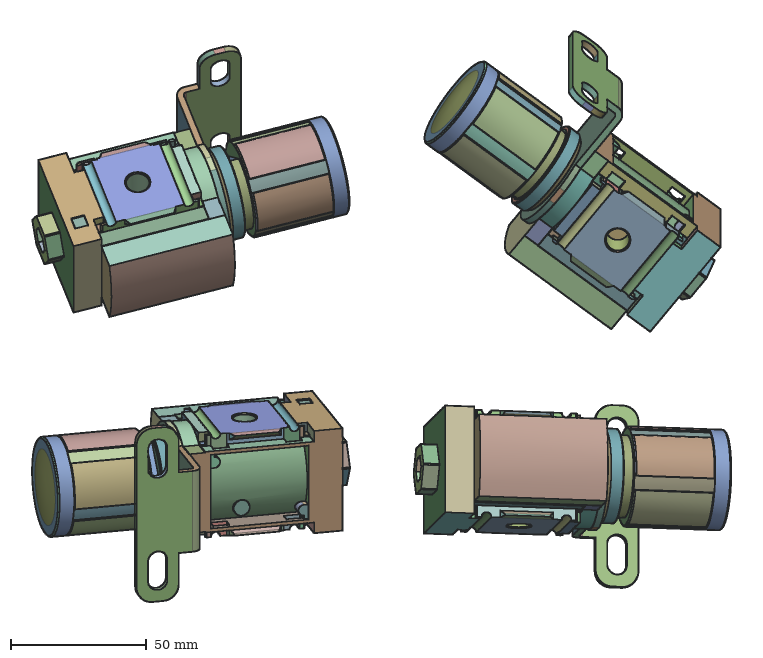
import cadquery as cq
import math


body_width = 42.2
body_height = 40.1
front_block_end = 10.9
port_block_end = 52.4
body_end = 58.7
body_mid = (front_block_end + port_block_end) / 2
core_height = 31.6
rear_height = 31.0
collar_diameter = 39.7

port_block_width = 30.3
port_diameter = 8.5
port_depth = 11.5
port_chamfer = 0.5
groove_diameter = 3.6
groove_offset = 15.0
slot_outer_x = 18.6
slot_inner_x = 14.8
slot_width = 6.1
slot_offset = 14.0
corner_length = 3.6
corner_width = 3.8
corner_floor = 16.4
tab_length = 1.0
tab_width = 2.1
tab_chamfer = 0.6

rib_reach = 2.2
rib_base_width = 19.9
rib_tip_width = 16.9
rib_underside = 17.4
rib_knee = 18.7
rib_tip_top = 19.5
rib_undercut = 0.6

pocket_front = 12.8
pocket_end = 50.2
pocket_height = 28.9
barrel_diameter = 37.4
pin_diameter = 6.1
pin_y = 37.7
pin_z = -8.5
pin_recess = 3.0
boss_recess = 0.9
boss_diameter = 4.3
boss_inset = 1.6
boss_z = 11.0

cover_height = 30.7
cover_side_x = 30.5
cover_crown_x = 33.0

mark_size = 5.0
mark_x = 11.0
mark_y = 5.7
mark_depth = 0.6

plug_length = 6.0
plug_flats = 17.1
plug_diameter = 19.4
socket_flats = 8.8
socket_depth = 9.2

thread_diameter = 31.6
neck_diameter = 30.4
neck_flat_distance = 12.0
neck_flat_angle = 138
knob_diameter = 37.2
knob_start = 71.6
knob_seam = 101.8
knob_end = 107.9
knob_crown = 109.5
dome_diameter = 28.4
knob_chamfer = 0.6
seam_width = 0.3
seam_depth = 0.2
flute_count = 5
flute_floor_width = 5.1
flute_mouth_width = 5.8
flute_depth = 0.6
flute_first_angle = 54

sheet = 2.5
bracket_left_x = -40.0
bracket_height = 68.0
strip_width = 16.0
strip_end = 83.7
strip_corner_radius = 6.0
bend_radius = 3.9
arm_height = 31.6
eye_diameter = 40.4
eye_height = 40.0
bracket_hole = 32.0
bracket_slot_width = 7.4
bracket_slot_length = 15.0
bracket_slot_z = 22.0

nut_diameter = 35.0
nut_end = 67.8
nut_chamfer_length = 1.7
nut_chamfer_depth = 1.5
nut_edge_chamfer = 0.3


def block(x0, x1, y0, y1, z0, z1):
    """Box given by its limits."""
    size = (x1 - x0, y1 - y0, z1 - z0)
    return cq.Workplane("XY").box(*size, centered=False).translate((x0, y0, z0))


def centred_block(width, y0, y1, height):
    """Box centred on the axis in X and Z."""
    return block(-width / 2, width / 2, y0, y1, -height / 2, height / 2)


def plane_y(y):
    """Work plane across the axis, extruding towards +Y."""
    return cq.Workplane(cq.Plane((0, y, 0), (1, 0, 0), (0, 1, 0)))


def rod(diameter, y0, y1):
    """Cylinder on the axis."""
    return plane_y(y0).circle(diameter / 2).extrude(y1 - y0)


def hexagon(flats, y0, y1):
    """Hexagonal bar on the axis with corners at +X and -X."""
    corners = flats / math.cos(math.pi / 6)
    return plane_y(y0).polygon(6, corners).extrude(y1 - y0)


def ring_profile(points):
    """Revolve an (r, y) outline around the axis."""
    return cq.Workplane("XY").polyline(points).close().revolve(360, (0, 0), (0, 1))


def mirrored_copies(solid, about_y):
    """The solid and its mirror images in X, Z and the plane y = about_y."""
    copies = [solid]
    for plane, base in (("YZ", (0, 0, 0)), ("XY", (0, 0, 0)), ("XZ", (0, about_y, 0))):
        copies += [copy.mirror(plane, base) for copy in copies]
    return copies


def make_rib():
    """Dovetail rib on the -X side of the upper port block."""
    root_x = -port_block_width / 2
    tip_x = root_x - rib_reach
    section = (
        cq.Workplane("XZ", origin=(0, body_mid + rib_base_width / 2, 0))
        .moveTo(root_x, body_height / 2)
        .lineTo(tip_x, rib_tip_top)
        .lineTo(tip_x + rib_undercut, rib_knee)
        .lineTo(root_x, rib_underside)
        .close()
        .extrude(rib_base_width)
    )
    plan = (
        cq.Workplane("XY")
        .moveTo(root_x, body_mid - rib_base_width / 2)
        .lineTo(tip_x, body_mid - rib_tip_width / 2)
        .lineTo(tip_x, body_mid + rib_tip_width / 2)
        .lineTo(root_x, body_mid + rib_base_width / 2)
        .close()
        .extrude(body_height)
    )
    return section.intersect(plan)


def cut_port_blocks(body):
    """Shape the port blocks: corner recesses, ribs, grooves and ports."""
    side_x = -port_block_width / 2
    top_z = body_height / 2
    recess = block(side_x, side_x + corner_length, port_block_end - corner_width, port_block_end,
                   corner_floor, top_z)
    tab_y = port_block_end - corner_width
    tab = block(side_x, side_x + tab_length, tab_y, tab_y + tab_width, corner_floor, top_z)
    tab = tab.edges("|Z and <X and >Y").chamfer(tab_chamfer)
    for corner in mirrored_copies(recess.cut(tab), body_mid):
        body = body.cut(corner)
    rib = make_rib()
    for upper in (rib, rib.mirror("XY")):
        body = body.union(upper).union(upper.mirror("YZ"))

    for end in (-1, 1):
        for side in (-1, 1):
            groove = (
                cq.Workplane("YZ", origin=(side_x, body_mid + end * groove_offset, side * top_z))
                .circle(groove_diameter / 2)
                .extrude(port_block_width)
            )
            body = body.cut(groove)

    for side in (-1, 1):
        port = (
            cq.Workplane("XY", origin=(0, body_mid, top_z - port_depth))
            .circle(port_diameter / 2)
            .extrude(port_depth)
            .faces(">Z")
            .workplane()
            .circle(port_diameter / 2 + port_chamfer)
            .workplane(offset=-port_chamfer)
            .circle(port_diameter / 2)
            .loft(combine=True)
        )
        body = body.cut(port if side > 0 else port.mirror("XY"))
    return body


def make_side_pocket():
    """Volume cut from the -X side, leaving the barrel, its pin and two bosses."""
    outer_x = -body_width / 2
    face_x = outer_x + boss_recess
    top = pocket_height / 2
    boss_radius = boss_diameter / 2
    pocket = block(outer_x, 0, pocket_front, pocket_end, -top, top)
    pocket = pocket.cut(rod(barrel_diameter, pocket_front, pocket_end))
    pin_x = outer_x + pin_recess
    pin = cq.Workplane("YZ", origin=(pin_x, pin_y, pin_z)).circle(pin_diameter / 2).extrude(-pin_x)
    pocket = pocket.cut(pin)

    for boss_y, wall_y, side in (
        (pocket_end - boss_inset, pocket_end, 1),
        (pocket_front + boss_inset, pocket_front, -1),
    ):
        centre_z = side * boss_z
        z_limits = sorted((centre_z - side * boss_radius, side * top))
        web = block(face_x, 0, min(boss_y, wall_y), max(boss_y, wall_y), *z_limits)
        boss = cq.Workplane("YZ", origin=(face_x, boss_y, centre_z)).circle(boss_radius).extrude(-face_x)
        pocket = pocket.cut(web).cut(boss)
    return pocket


def make_coupling_slots():
    """Slots through the upper and lower wall of the side pocket."""
    wall_z = pocket_height / 2
    slots = []
    for end in (-1, 1):
        centre_y = body_mid + end * slot_offset
        y_limits = (centre_y - slot_width / 2, centre_y + slot_width / 2)
        upper = block(-slot_outer_x, -slot_inner_x, *y_limits, wall_z, body_height / 2)
        slots += [upper, upper.mirror("XY")]
    return slots


def make_cover():
    """Cover on the +X side with a cylindrical outer face."""
    half = cover_height / 2
    return (
        plane_y(front_block_end)
        .moveTo(0, -half)
        .lineTo(cover_side_x, -half)
        .threePointArc((cover_crown_x, 0), (cover_side_x, half))
        .lineTo(0, half)
        .close()
        .extrude(body_end - front_block_end)
    )


def make_plug():
    """Hexagonal drain plug in front of the housing."""
    return hexagon(plug_flats, -plug_length, 0).intersect(rod(plug_diameter, -plug_length, 0))


def make_neck():
    """Threaded stub through bracket and nut, then the neck with its flat."""
    thread = rod(thread_diameter, body_end, nut_end)
    neck = rod(neck_diameter, nut_end, knob_start)
    outside_flat = block(neck_flat_distance, neck_diameter, nut_end, knob_start,
                         -neck_diameter, neck_diameter)
    neck = neck.cut(outside_flat.rotate((0, 0, 0), (0, 1, 0), -neck_flat_angle))
    return thread.union(neck)


def make_knob():
    """Fluted knob with a domed cap."""
    radius = knob_diameter / 2
    rim = radius - knob_chamfer
    dome_radius = dome_diameter / 2
    dome_height = knob_crown - knob_end
    dome_sphere = (dome_radius**2 + dome_height**2) / (2 * dome_height)
    knob = (
        cq.Workplane("XY")
        .moveTo(0, knob_start)
        .lineTo(rim, knob_start)
        .lineTo(radius, knob_start + knob_chamfer)
        .lineTo(radius, knob_end - knob_chamfer)
        .lineTo(rim, knob_end)
        .lineTo(dome_radius, knob_end)
        .radiusArc((0, knob_crown), -dome_sphere)
        .close()
        .revolve(360, (0, 0), (0, 1))
    )
    seam = rod(knob_diameter, knob_seam - seam_width, knob_seam)
    knob = knob.cut(seam.cut(rod(knob_diameter - 2 * seam_depth, knob_seam - seam_width, knob_seam)))

    floor = radius - flute_depth
    flute = (
        plane_y(knob_start)
        .moveTo(0, -flute_floor_width / 2)
        .lineTo(floor, -flute_floor_width / 2)
        .lineTo(radius, -flute_mouth_width / 2)
        .lineTo(radius, flute_mouth_width / 2)
        .lineTo(floor, flute_floor_width / 2)
        .lineTo(0, flute_floor_width / 2)
        .close()
        .extrude(knob_seam - knob_start)
        .cut(rod(2 * floor, knob_start, knob_seam))
    )
    for index in range(flute_count):
        angle = flute_first_angle + index * 360 / flute_count
        knob = knob.cut(flute.rotate((0, 0, 0), (0, 1, 0), -angle))
    return knob


def make_regulator():
    """Housing with cover, plug, neck and knob."""
    body = centred_block(body_width, 0, front_block_end, body_height)
    body = body.union(centred_block(body_width, front_block_end, port_block_end, core_height))
    body = body.union(centred_block(port_block_width, front_block_end, port_block_end, body_height))
    body = body.union(centred_block(body_width, port_block_end, body_end, rear_height))
    body = body.union(rod(collar_diameter, port_block_end, body_end))
    body = body.union(make_cover())
    body = cut_port_blocks(body)
    body = body.cut(make_side_pocket())
    for slot in make_coupling_slots():
        body = body.cut(slot)

    top_z = body_height / 2
    half_mark = mark_size / 2
    body = body.cut(block(mark_x - half_mark, mark_x + half_mark, mark_y - half_mark, mark_y + half_mark,
                          top_z - mark_depth, top_z))
    body = body.union(make_plug())
    body = body.cut(hexagon(socket_flats, -plug_length, socket_depth - plug_length))
    return body.union(make_neck()).union(make_knob())


def make_bracket():
    """Angle bracket: slotted strip, bend, and arm with a round eye."""
    sheet_right_x = bracket_left_x + sheet
    plate_end = body_end + sheet
    strip_start = strip_end - strip_width

    profile = block(bracket_left_x, 0, body_end, strip_end, -bracket_height / 2, bracket_height / 2)
    profile = profile.cut(
        block(sheet_right_x, 0, plate_end, strip_end, -bracket_height / 2, bracket_height / 2)
        .edges("<X and <Y").fillet(bend_radius - sheet)
    )
    profile = profile.edges("<X and <Y").fillet(bend_radius)

    strip = (
        block(bracket_left_x, 0, strip_start, strip_end, -bracket_height / 2, bracket_height / 2)
        .edges("|X").fillet(strip_corner_radius)
    )
    arm = block(bracket_left_x, 0, body_end, strip_end, -arm_height / 2, arm_height / 2)
    bracket = profile.intersect(strip.union(arm))

    eye = rod(eye_diameter, body_end, plate_end)
    eye = eye.intersect(centred_block(eye_diameter, body_end, plate_end, eye_height))
    bracket = bracket.union(eye).cut(rod(bracket_hole, body_end, plate_end))

    slots = (
        cq.Workplane("YZ", origin=(bracket_left_x, (strip_start + strip_end) / 2, 0))
        .pushPoints([(0, -bracket_slot_z), (0, bracket_slot_z)])
        .slot2D(bracket_slot_length, bracket_slot_width, 90)
        .extrude(sheet)
    )
    return bracket.cut(slots)


def make_nut():
    """Ring nut that clamps the bracket to the housing."""
    start = body_end + sheet
    radius = nut_diameter / 2
    bore = thread_diameter / 2
    return ring_profile([
        (bore, start),
        (radius - nut_chamfer_depth, start),
        (radius, start + nut_chamfer_length),
        (radius, nut_end - nut_edge_chamfer),
        (radius - nut_edge_chamfer, nut_end),
        (bore, nut_end),
    ])


regulator = make_regulator()
bracket = make_bracket()
nut = make_nut()

result = cq.Compound.makeCompound([regulator.val(), bracket.val(), nut.val()])